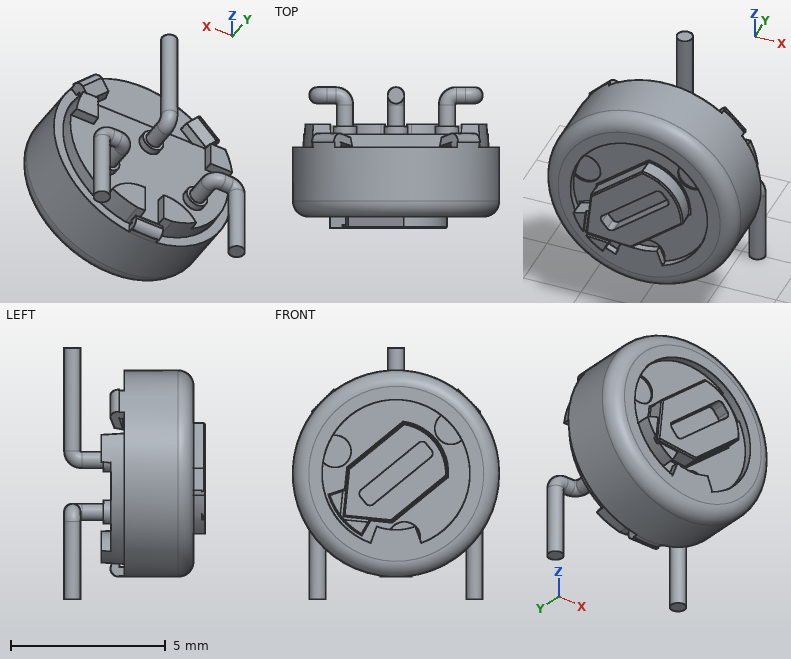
import cadquery as cq
import math


HOUSING_RADIUS = 3.34
HOUSING_DEPTH = 2.25
HOUSING_EDGE_RADIUS = 0.51

RECESS_RADIUS = 2.39
RECESS_DEPTH = 0.26
STOP_INNER_RADIUS = 1.82
STOP_HALF_ANGLE = 20

POCKET_RADIUS = 0.52
POCKET_DEPTH = 0.065
POCKET_CENTRES = [(2.3, 39.5), (2.1, 160), (2.1, -82.6)]

KNOB_ANGLE = 39.2
KNOB_RISE = 0.365
KNOB_HALF_WIDTH = 1.11
KNOB_TIP = 2.2
KNOB_ROUND_RADIUS = 1.66
KNOB_CHAMFER = 0.05
SKIRT = 0.04
SKIRT_TAPER = 45
SLOT_LENGTH = 2.73
SLOT_WIDTH = 0.61
SLOT_DEPTH = 0.49
SLOT_CORNER_RADIUS = 0.16

POINTER_RADIUS = 2.25
POINTER_HALF_ANGLE = 21
GROOVE_WIDTH = 0.1
GROOVE_DEPTH = 0.105

PLATE_RADIUS = 3.0
PLATE_TOP = 1.3
PLATE_BOTTOM = 2.93
PLATE_BACK = 2.675
FEET_BACK = 2.99
FEET_DRAFT = 3.5
SIDE_FOOT_INNER_X = 2.07
SIDE_FOOT_BOTTOM = 0.325
LOWER_FOOT_INNER_X = 0.31
LOWER_FOOT_CREST_X = 0.495
LOWER_FOOT_DROP = 1.82
LOWER_FOOT_SHOULDER = (-1.14, 2.01)
LOWER_FOOT_END = 123

HOOK_ANGLES = [45, 135, 270]
HOOK_WIDTH = 1.01
HOOK_THICKNESS = 0.285
HOOK_BACK = 2.7
HOOK_TIP_X = 2.585
HOOK_DROOP = 16

WIRE_RADIUS = 0.27
BEND_RADIUS = 0.3
WIRE_BACK = 4.195
WIRE_END = 4.065
SIDE_PIN_X = 1.65
SIDE_PIN_Z = -1.24
SIDE_LEG_X = 2.54
CENTRE_PIN_Z = 0.44
COLLAR_RADIUS = 0.38
COLLAR_BACK = 2.92


def front_plane(y):
    """Sketch plane facing the front (-Y) at depth y; sketch axes are X and Z."""
    return cq.Workplane("XZ", origin=(0, y, 0))


def back_plane(y):
    """Sketch plane facing the back (+Y) at depth y; sketch axes are X and -Z."""
    return cq.Workplane(cq.Plane(origin=(0, y, 0), xDir=(1, 0, 0), normal=(0, 1, 0)))


def turn(body, angle):
    """Turn a body about the housing axis, anticlockwise as seen from the front."""
    return body.rotate((0, 0, 0), (0, -1, 0), angle)


def polar(radius, angle):
    """Sketch point at a radius and an angle in degrees."""
    a = math.radians(angle)
    return (radius * math.cos(a), radius * math.sin(a))


def ring_sector(plane, inner, outer, start, end):
    """Closed outline between two radii and two angles (degrees)."""
    middle = (start + end) / 2
    return (
        plane.moveTo(*polar(inner, start))
        .lineTo(*polar(outer, start))
        .threePointArc(polar(outer, middle), polar(outer, end))
        .lineTo(*polar(inner, end))
        .threePointArc(polar(inner, middle), polar(inner, start))
        .close()
    )


def pie_sector(plane, radius, middle, half_angle):
    """Closed outline from the axis out to a radius, half_angle degrees either side of middle."""
    return (
        plane.lineTo(*polar(radius, middle - half_angle))
        .threePointArc(polar(radius, middle), polar(radius, middle + half_angle))
        .close()
    )


def knob_outline(plane, grow=0.0):
    """Arrow with a 90 degree tip and a round end, offset outwards by grow."""
    half_width = KNOB_HALF_WIDTH + grow
    tip = KNOB_TIP + grow * math.sqrt(2)
    radius = KNOB_ROUND_RADIUS + grow
    shoulder = tip - half_width
    end = math.sqrt(radius**2 - half_width**2)
    return (
        plane.moveTo(-tip, 0)
        .lineTo(-shoulder, -half_width)
        .lineTo(end, -half_width)
        .threePointArc((radius, 0), (end, half_width))
        .lineTo(-shoulder, half_width)
        .close()
    )


def make_hook():
    """Rim segment on the +X side, with a straight strap folded inwards on top of it."""
    inner = HOUSING_RADIUS - HOOK_THICKNESS
    under_side = HOOK_BACK - HOOK_THICKNESS
    slope = math.tan(math.radians(HOOK_DROOP))
    drop = (inner - HOOK_TIP_X) * slope
    corner = HOOK_THICKNESS * (1 - math.sqrt(0.5))
    strap = (
        cq.Workplane("XY", origin=(0, 0, -HOOK_WIDTH / 2))
        .moveTo(HOUSING_RADIUS, under_side)
        .threePointArc((HOUSING_RADIUS - corner, HOOK_BACK - corner), (inner, HOOK_BACK))
        .lineTo(HOOK_TIP_X, HOOK_BACK - drop)
        .lineTo(HOOK_TIP_X - HOOK_THICKNESS * slope, under_side - drop)
        .lineTo(inner, under_side)
        .close()
        .extrude(HOOK_WIDTH)
    )
    rim = back_plane(HOUSING_DEPTH).circle(HOUSING_RADIUS).circle(inner).extrude(under_side - HOUSING_DEPTH)
    bar = back_plane(HOUSING_DEPTH).center(HOUSING_RADIUS, 0).rect(HOUSING_RADIUS, HOOK_WIDTH)
    bar = bar.extrude(under_side - HOUSING_DEPTH)
    return rim.intersect(bar).union(strap)


def make_recess():
    """Material removed from the front face: round recess less its stop tab, plus the pockets."""
    recess = back_plane(0).circle(RECESS_RADIUS).extrude(RECESS_DEPTH)
    stop = ring_sector(
        front_plane(RECESS_DEPTH),
        STOP_INNER_RADIUS,
        HOUSING_RADIUS,
        -90 - STOP_HALF_ANGLE,
        -90 + STOP_HALF_ANGLE,
    ).extrude(RECESS_DEPTH)
    recess = recess.cut(stop)
    pocket_plane = front_plane(RECESS_DEPTH + POCKET_DEPTH)
    recess_disc = pocket_plane.circle(RECESS_RADIUS).extrude(POCKET_DEPTH)
    for distance, angle in POCKET_CENTRES:
        pocket = pocket_plane.center(*polar(distance, angle)).circle(POCKET_RADIUS).extrude(POCKET_DEPTH)
        recess = recess.union(pocket.intersect(recess_disc))
    return recess


def make_housing():
    body = back_plane(0).circle(HOUSING_RADIUS).extrude(HOUSING_DEPTH)
    body = body.faces("<Y").edges().fillet(HOUSING_EDGE_RADIUS)
    body = body.cut(make_recess())
    hook = make_hook()
    for angle in HOOK_ANGLES:
        body = body.union(turn(hook, angle))
    return body


def make_knob():
    """Knob and pointer standing on the recess floor, each with a bevelled skirt at its foot."""
    floor = front_plane(RECESS_DEPTH)
    height = RECESS_DEPTH + KNOB_RISE
    knob = knob_outline(floor).extrude(height)
    knob = knob.faces("<Y").chamfer(KNOB_CHAMFER)
    slot = front_plane(SLOT_DEPTH - KNOB_RISE).rect(SLOT_LENGTH, SLOT_WIDTH).extrude(SLOT_DEPTH)
    slot = slot.edges("|Y").fillet(SLOT_CORNER_RADIUS)
    knob_skirt = knob_outline(floor, SKIRT).extrude(SKIRT, taper=SKIRT_TAPER)

    pointer = pie_sector(floor, POINTER_RADIUS, 180, POINTER_HALF_ANGLE).extrude(height)
    groove = knob_outline(front_plane(GROOVE_DEPTH - KNOB_RISE), GROOVE_WIDTH).extrude(GROOVE_DEPTH)
    pointer = pointer.cut(groove)
    apex_shift = SKIRT / math.sin(math.radians(POINTER_HALF_ANGLE))
    foot_reach = POINTER_RADIUS + SKIRT
    foot_angle = POINTER_HALF_ANGLE + math.degrees(SKIRT / foot_reach)
    pointer_skirt = (
        floor.moveTo(apex_shift, 0)
        .lineTo(*polar(foot_reach, 180 - foot_angle))
        .threePointArc((-foot_reach, 0), polar(foot_reach, 180 + foot_angle))
        .close()
        .extrude(SKIRT, taper=SKIRT_TAPER)
    )
    knob = knob.union(pointer).union(knob_skirt).union(pointer_skirt).cut(slot)
    return turn(knob, KNOB_ANGLE)


def make_feet():
    """Blanks of the four feet, tapering to the back and reaching out past the plate edge."""
    height = FEET_BACK - HOUSING_DEPTH
    side = (
        back_plane(HOUSING_DEPTH)
        .moveTo(-SIDE_FOOT_INNER_X, -SIDE_FOOT_BOTTOM)
        .lineTo(-SIDE_FOOT_INNER_X, -HOUSING_RADIUS)
        .lineTo(-HOUSING_RADIUS, -HOUSING_RADIUS)
        .lineTo(-HOUSING_RADIUS, -SIDE_FOOT_BOTTOM)
        .close()
        .extrude(height, taper=FEET_DRAFT)
    )
    lower = (
        back_plane(HOUSING_DEPTH)
        .moveTo(-LOWER_FOOT_INNER_X, HOUSING_RADIUS)
        .lineTo(-LOWER_FOOT_INNER_X, LOWER_FOOT_DROP)
        .lineTo(-LOWER_FOOT_CREST_X, LOWER_FOOT_DROP)
        .threePointArc(LOWER_FOOT_SHOULDER, polar(PLATE_RADIUS, LOWER_FOOT_END))
        .lineTo(*polar(HOUSING_RADIUS, LOWER_FOOT_END))
        .close()
        .extrude(height, taper=FEET_DRAFT)
    )
    feet = side.union(lower)
    return feet.union(feet.mirror("YZ"))


def make_plate():
    """Drafted disc with flat top and bottom, cut down to the plate level except at the feet."""
    top_x = math.sqrt(PLATE_RADIUS**2 - PLATE_TOP**2)
    bottom_x = math.sqrt(PLATE_RADIUS**2 - PLATE_BOTTOM**2)
    plate = (
        back_plane(HOUSING_DEPTH)
        .moveTo(-top_x, -PLATE_TOP)
        .lineTo(top_x, -PLATE_TOP)
        .threePointArc((PLATE_RADIUS, 0), (bottom_x, PLATE_BOTTOM))
        .lineTo(-bottom_x, PLATE_BOTTOM)
        .threePointArc((-PLATE_RADIUS, 0), (-top_x, -PLATE_TOP))
        .close()
        .extrude(FEET_BACK - HOUSING_DEPTH, taper=FEET_DRAFT)
    )
    waste = back_plane(PLATE_BACK).circle(HOUSING_RADIUS).extrude(FEET_BACK - PLATE_BACK)
    return plate.cut(waste.cut(make_feet()))


def make_collar(x, z):
    """Round collar where a pin leaves the back plate."""
    height = COLLAR_BACK - HOUSING_DEPTH
    return back_plane(HOUSING_DEPTH).center(x, -z).circle(COLLAR_RADIUS).extrude(height)


def make_wire(points):
    """Round wire along straight runs between points, with a bend at every inner point."""
    points = [cq.Vector(*p) for p in points]
    edges = []
    start = points[0]
    for before, here, after in zip(points, points[1:], points[2:]):
        towards = (here - before).normalized()
        away = (after - here).normalized()
        bend_start = here - towards * BEND_RADIUS
        bend_end = here + away * BEND_RADIUS
        edges.append(cq.Edge.makeLine(start, bend_start))
        edges.append(cq.Edge.makeTangentArc(bend_start, towards, bend_end))
        start = bend_end
    edges.append(cq.Edge.makeLine(start, points[-1]))
    path = cq.Workplane("XY").newObject([cq.Wire.assembleEdges(edges)])
    profile = back_plane(points[0].y).center(points[0].x, -points[0].z).circle(WIRE_RADIUS)
    return profile.sweep(path)


def make_pins():
    """Centre pin bent up, side pins bent outwards and then down, with their collars."""
    axis_back = WIRE_BACK - WIRE_RADIUS
    centre = make_wire([
        (0, HOUSING_DEPTH, CENTRE_PIN_Z),
        (0, axis_back, CENTRE_PIN_Z),
        (0, axis_back, WIRE_END),
    ])
    pins = centre.union(make_collar(0, CENTRE_PIN_Z))
    for side in (-1, 1):
        wire = make_wire([
            (side * SIDE_PIN_X, HOUSING_DEPTH, SIDE_PIN_Z),
            (side * SIDE_PIN_X, axis_back, SIDE_PIN_Z),
            (side * SIDE_LEG_X, axis_back, SIDE_PIN_Z),
            (side * SIDE_LEG_X, axis_back, -WIRE_END),
        ])
        pins = pins.union(wire).union(make_collar(side * SIDE_PIN_X, SIDE_PIN_Z))
    return pins


result = (
    make_housing()
    .union(make_knob())
    .union(make_plate())
    .union(make_pins())
)